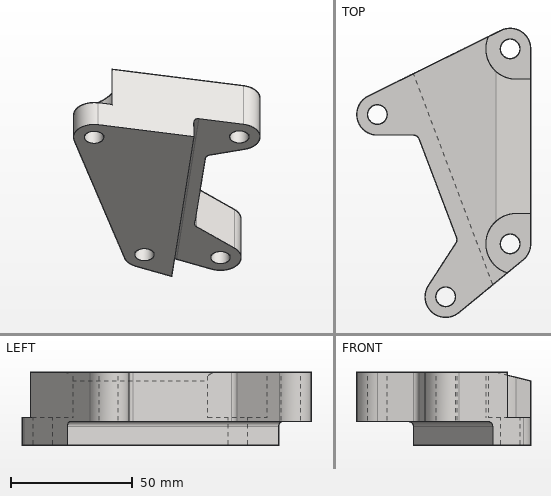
import cadquery as cq
import math

height = 30.0
arm_underside = 9.7
pocket_floor = 11.5

hole_diameter = 8.0
lobe_radius = 17.0 / 2
lower_hole = (0, 0)
upper_hole = (0, 80.0)
left_hole = (-54.5, 53.1)
bottom_hole = (-26.5, -21.7)
holes = [lower_hole, upper_hole, left_hole, bottom_hole]
straight_edge = lobe_radius

arm_corner = (-38.0, left_hole[1] - lobe_radius)
waist_corner = (-21.6, 1.4)
inner_corner_radius = 2.5

pocket_radius = 12.5
pocket_center_shift = 2.5

bevel_width = 14.4
bevel_drop = 3.6

wall_top = (-39.9, 70.4)
wall_bottom = (-7.1, -16.9)
wall_fillet = 2.0

margin = 118.8


def on_lobe(center, angle):
    """Point on the lobe around a hole, at an angle in radians."""
    x = center[0] + lobe_radius * math.cos(angle)
    y = center[1] + lobe_radius * math.sin(angle)
    return (x, y)


def outer_normal(start, end):
    """Direction pointing right of the line from start to end."""
    return math.atan2(end[1] - start[1], end[0] - start[0]) - math.pi / 2


def add_lobe_arc(outline, center, start, end):
    """Continue counterclockwise around a lobe from one angle to another."""
    sweep = (end - start) % math.tau
    return outline.threePointArc(on_lobe(center, start + sweep / 2), on_lobe(center, end))


def make_plate():
    upper_normal = outer_normal(upper_hole, left_hole)
    lower_normal = outer_normal(bottom_hole, lower_hole)
    dx = waist_corner[0] - bottom_hole[0]
    dy = waist_corner[1] - bottom_hole[1]
    waist_normal = math.atan2(dy, dx) + math.acos(lobe_radius / math.hypot(dx, dy))

    outline = cq.Workplane("XY").moveTo(*on_lobe(lower_hole, 0)).lineTo(*on_lobe(upper_hole, 0))
    outline = add_lobe_arc(outline, upper_hole, 0, upper_normal)
    outline = outline.lineTo(*on_lobe(left_hole, upper_normal))
    outline = add_lobe_arc(outline, left_hole, upper_normal, -math.pi / 2)
    outline = outline.lineTo(*arm_corner).lineTo(*waist_corner)
    outline = outline.lineTo(*on_lobe(bottom_hole, waist_normal))
    outline = add_lobe_arc(outline, bottom_hole, waist_normal, lower_normal)
    outline = outline.lineTo(*on_lobe(lower_hole, lower_normal))
    outline = add_lobe_arc(outline, lower_hole, lower_normal, 0)
    plate = outline.close().extrude(height)

    for corner in (arm_corner, waist_corner):
        nearest = cq.selectors.NearestToPointSelector((*corner, height / 2))
        plate = plate.edges("|Z").edges(nearest).fillet(inner_corner_radius)
    return plate


def make_arm_relief():
    """Space below the arms, with its upper edge along the wall rounded."""
    along = cq.Vector(wall_bottom[0] - wall_top[0], wall_bottom[1] - wall_top[1], 0).normalized()
    away = cq.Vector(along.y, -along.x, 0)
    plane = cq.Plane(origin=(*wall_top, 0), xDir=away, normal=away.cross(cq.Vector(0, 0, 1)))
    inset = wall_fillet * (1 - math.sqrt(0.5))
    return (
        cq.Workplane(plane)
        .lineTo(0, arm_underside - wall_fillet)
        .threePointArc((inset, arm_underside - inset), (wall_fillet, arm_underside))
        .lineTo(margin, arm_underside)
        .lineTo(margin, 0)
        .close()
        .extrude(margin, both=True)
    )


def make_bolt_pocket(center):
    x = center[0] + pocket_center_shift
    slot = cq.Workplane("XY", origin=(x, center[1], pocket_floor))
    round_end = slot.circle(pocket_radius).extrude(height)
    open_end = slot.rect(margin, 2 * pocket_radius, centered=(False, True)).extrude(height)
    return round_end.union(open_end)


def make_edge_bevel():
    """Wedge removed between the two holes on the straight edge."""
    return (
        cq.Workplane("XZ")
        .moveTo(straight_edge - bevel_width, height)
        .lineTo(straight_edge, height - bevel_drop)
        .lineTo(straight_edge, height)
        .close()
        .extrude(lower_hole[1] - upper_hole[1])
    )


result = make_plate().cut(make_arm_relief()).cut(make_edge_bevel())
for hole in (lower_hole, upper_hole):
    result = result.cut(make_bolt_pocket(hole))
result = result.cut(cq.Workplane("XY").pushPoints(holes).circle(hole_diameter / 2).extrude(height))